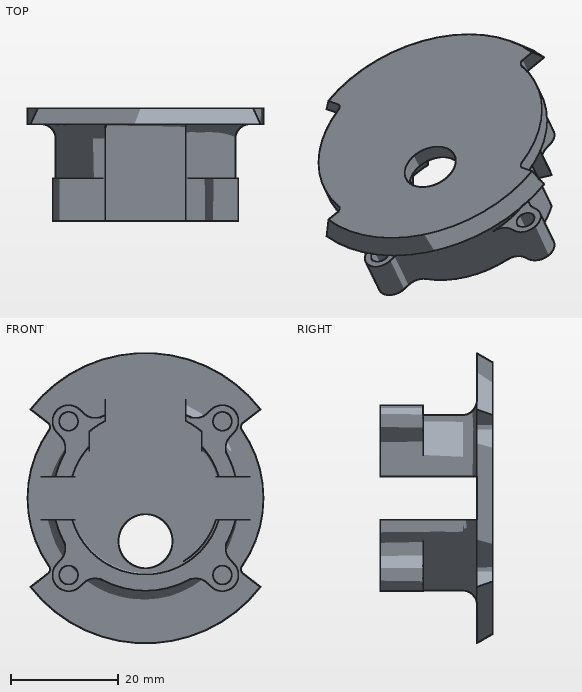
import cadquery as cq
import math

FLANGE_RADIUS = 27.0
FLANGE_THICKNESS = 3.0
FLANGE_TAPER_ANGLE = 30.0
WAIST_RADIUS = 21.95
WAIST_HALF_ANGLE = 37.65
SHOULDER_FILLET = 1.0
CABLE_HOLE_RADIUS = 5.0
CABLE_HOLE_Z = -8.0

BARREL_HEIGHT = 18.0
BARREL_INNER_RADIUS = 14.2
BARREL_WALL = 3.0
BARREL_OUTER_RADIUS = BARREL_INNER_RADIUS + BARREL_WALL
BASE_FILLET = 2.6
INNER_BASE_FILLET = 0.5
SIDE_SLOT_WIDTH = 8.0
TOP_SLOT_WIDTH = 15.0
RELIEF_WIDTH = 21.0
RELIEF_LIP = 1.0
RELIEF_RADIUS = BARREL_OUTER_RADIUS - RELIEF_LIP

BOSS_RADIUS = 3.0
BOSS_LENGTH = 8.0
BOSS_HOLE_RADIUS = 1.75
BOSS_PITCH_RADIUS = BARREL_OUTER_RADIUS + BOSS_RADIUS
BOSS_ANGLES = (45, 135, 225, 315)
NECK_RADIUS = BOSS_RADIUS
NECK_SPREAD = 17.4

CUT_SIZE = 3 * FLANGE_RADIUS
LENGTH_TOLERANCE = 0.01


def polar(radius, angle):
    """Point in the XZ plane at an angle in degrees from +X toward +Z."""
    return (radius * math.cos(math.radians(angle)), radius * math.sin(math.radians(angle)))


def front_plane(distance=0.0):
    """XZ sketch plane facing -Y, the given distance in front of the flange."""
    return cq.Workplane("XZ", origin=(0, -distance, 0))


def make_waist_cutter(side):
    """Removes the flange rim outside the waist on one side (+1 or -1 in X)."""
    reach = CUT_SIZE / 2
    half_height = reach * math.tan(math.radians(WAIST_HALF_ANGLE))
    corners = [(0, 0), (side * reach, half_height), (side * reach, -half_height)]
    wedge = front_plane().polyline(corners).close().extrude(-FLANGE_THICKNESS)
    waist = front_plane().circle(WAIST_RADIUS).extrude(-FLANGE_THICKNESS)
    return wedge.cut(waist)


def at_shoulder_root(edge):
    """True for the straight edges where a shoulder meets the waist."""
    center = edge.Center()
    return abs(math.hypot(center.x, center.z) - WAIST_RADIUS) < LENGTH_TOLERANCE


def make_flange():
    flange = front_plane().circle(FLANGE_RADIUS).extrude(-FLANGE_THICKNESS, taper=FLANGE_TAPER_ANGLE)
    for side in (-1, 1):
        flange = flange.cut(make_waist_cutter(side))
    roots = [edge for edge in flange.edges("|Y").vals() if at_shoulder_root(edge)]
    flange = flange.newObject(roots).fillet(SHOULDER_FILLET)
    hole = front_plane().center(0, CABLE_HOLE_Z).circle(CABLE_HOLE_RADIUS).extrude(-FLANGE_THICKNESS)
    return flange.cut(hole)


def make_barrel():
    """Tube whose foot is blended into the flange on the outside and the inside."""
    arc_inset = 1 - math.sqrt(0.5)
    outer_middle = (BARREL_OUTER_RADIUS + BASE_FILLET * arc_inset, -BASE_FILLET * arc_inset)
    inner_middle = (
        BARREL_INNER_RADIUS - INNER_BASE_FILLET * arc_inset,
        -INNER_BASE_FILLET * arc_inset,
    )
    inner_foot = (BARREL_INNER_RADIUS - INNER_BASE_FILLET, 0)
    profile = (
        cq.Workplane("XY")
        .moveTo(*inner_foot)
        .lineTo(BARREL_OUTER_RADIUS + BASE_FILLET, 0)
        .threePointArc(outer_middle, (BARREL_OUTER_RADIUS, -BASE_FILLET))
        .lineTo(BARREL_OUTER_RADIUS, -BARREL_HEIGHT)
        .lineTo(BARREL_INNER_RADIUS, -BARREL_HEIGHT)
        .lineTo(BARREL_INNER_RADIUS, -INNER_BASE_FILLET)
        .threePointArc(inner_middle, inner_foot)
        .close()
    )
    return profile.revolve(360, (0, 0, 0), (0, 1, 0))


def cut_slots(barrel):
    """Opens the barrel at both sides and at the top, and thins it beside the top slot."""
    side_slot = front_plane().rect(CUT_SIZE, SIDE_SLOT_WIDTH).extrude(BARREL_HEIGHT)
    top_slot = front_plane().rect(TOP_SLOT_WIDTH, CUT_SIZE / 2).extrude(BARREL_HEIGHT)
    top_slot = top_slot.translate((0, 0, CUT_SIZE / 4))
    relief = front_plane().rect(RELIEF_WIDTH, CUT_SIZE / 2).extrude(BARREL_HEIGHT)
    relief = relief.translate((0, 0, CUT_SIZE / 4))
    relief = relief.intersect(front_plane().circle(RELIEF_RADIUS).extrude(BARREL_HEIGHT))
    return barrel.cut(side_slot).cut(top_slot).cut(relief)


def make_boss():
    """Boss on the +X axis: a round end blended into the barrel by two concave necks."""
    neck_x, neck_z = polar(BARREL_OUTER_RADIUS + NECK_RADIUS, NECK_SPREAD)
    spacing = math.hypot(neck_x - BOSS_PITCH_RADIUS, neck_z)
    toward_neck = math.degrees(math.atan2(neck_z, neck_x - BOSS_PITCH_RADIUS))
    tangent_angle = toward_neck - math.degrees(math.acos((BOSS_RADIUS + NECK_RADIUS) / spacing))
    boss_dx, boss_dz = polar(BOSS_RADIUS, tangent_angle)
    line_start = (BOSS_PITCH_RADIUS + boss_dx, boss_dz)
    neck_dx, neck_dz = polar(NECK_RADIUS, tangent_angle)
    line_end = (neck_x - neck_dx, neck_z - neck_dz)
    foot = polar(BARREL_OUTER_RADIUS, NECK_SPREAD)
    middle_angle = (tangent_angle + NECK_SPREAD) / 2 + 180
    middle_dx, middle_dz = polar(NECK_RADIUS, middle_angle)
    neck_middle = (neck_x + middle_dx, neck_z + middle_dz)

    def mirrored(point):
        return (point[0], -point[1])

    boss_plane = front_plane(BARREL_HEIGHT - BOSS_LENGTH)
    boss = (
        boss_plane.moveTo(*mirrored(foot))
        .threePointArc(mirrored(neck_middle), mirrored(line_end))
        .lineTo(*mirrored(line_start))
        .threePointArc((BOSS_PITCH_RADIUS + BOSS_RADIUS, 0), line_start)
        .lineTo(*line_end)
        .threePointArc(neck_middle, foot)
        .close()
        .extrude(BOSS_LENGTH)
    )
    hole = boss_plane.center(BOSS_PITCH_RADIUS, 0).circle(BOSS_HOLE_RADIUS).extrude(BOSS_LENGTH)
    return boss.cut(hole)


result = make_flange().union(cut_slots(make_barrel()))
for boss_angle in BOSS_ANGLES:
    result = result.union(make_boss().rotate((0, 0, 0), (0, 1, 0), boss_angle))